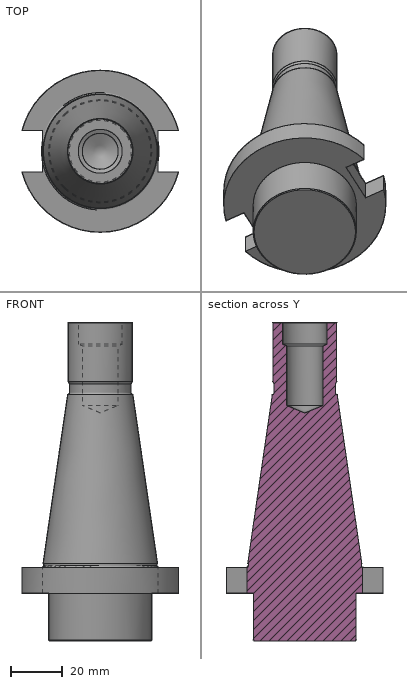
import cadquery as cq
import math

total_height = 123.4
flange_bottom = 18.5
flange_thickness = 10.0
flange_top = flange_bottom + flange_thickness
relief_height = 1.5
taper_bottom = flange_top + relief_height
taper_top = 95.5
shank_bottom = 100.6

pilot_diameter = 40.0
flange_diameter = 62.8
relief_diameter = 44.0
taper_large_diameter = 44.4
taper_ratio = 7 / 24
taper_small_diameter = taper_large_diameter - taper_ratio * (taper_top - taper_bottom)
neck_diameter = 24.0
shank_diameter = 24.9

pilot_chamfer = 0.4
relief_fillet = 0.7
neck_bottom_fillet = 0.7
neck_top_chamfer_height = 1.0

slot_width = 16.0
slot_floor_distance = 22.5

counterbore_diameter = 17.0
counterbore_depth = 8.4
bore_diameter = 14.0
bore_depth = 32.1
cone_angle = 135.0


def fillet_middle(wall_radius, floor_level, fillet_radius):
    """Midpoint of a concave fillet between a vertical wall and a flat floor."""
    inset = fillet_radius * (1 - math.sqrt(0.5))
    return (wall_radius + inset, floor_level + inset)


def make_body():
    """Revolve the outer outline: pilot, flange, taper, neck and shank."""
    pilot_radius = pilot_diameter / 2
    flange_radius = flange_diameter / 2
    relief_radius = relief_diameter / 2
    taper_large_radius = taper_large_diameter / 2
    taper_small_radius = taper_small_diameter / 2
    neck_radius = neck_diameter / 2
    shank_radius = shank_diameter / 2
    relief_arc_middle = fillet_middle(relief_radius, flange_top, relief_fillet)
    neck_arc_middle = fillet_middle(neck_radius, taper_top, neck_bottom_fillet)

    outline = (
        cq.Workplane("XZ")
        .lineTo(pilot_radius - pilot_chamfer, 0)
        .lineTo(pilot_radius, pilot_chamfer)
        .lineTo(pilot_radius, flange_bottom)
        .lineTo(flange_radius, flange_bottom)
        .lineTo(flange_radius, flange_top)
        .lineTo(relief_radius + relief_fillet, flange_top)
        .threePointArc(relief_arc_middle, (relief_radius, flange_top + relief_fillet))
        .lineTo(relief_radius, taper_bottom)
        .lineTo(taper_large_radius, taper_bottom)
        .lineTo(taper_small_radius, taper_top)
        .lineTo(neck_radius + neck_bottom_fillet, taper_top)
        .threePointArc(neck_arc_middle, (neck_radius, taper_top + neck_bottom_fillet))
        .lineTo(neck_radius, shank_bottom - neck_top_chamfer_height)
        .lineTo(shank_radius, shank_bottom)
        .lineTo(shank_radius, total_height)
        .lineTo(0, total_height)
        .close()
    )
    return outline.revolve(360, (0, 0, 0), (0, 1, 0))


def make_drive_slot(side):
    """Cutter for the drive slot on the +X (side=1) or -X (side=-1) side."""
    length = flange_diameter / 2
    return (
        cq.Workplane("XY", origin=(side * (slot_floor_distance + length / 2), 0, flange_bottom))
        .rect(length, slot_width)
        .extrude(flange_thickness)
    )


def make_bore():
    """Cutter for the counterbored blind hole with a conical step and drill tip."""
    bore_radius = bore_diameter / 2
    counterbore_radius = counterbore_diameter / 2
    counterbore_bottom = total_height - counterbore_depth
    bore_bottom = total_height - bore_depth
    cone_slope = 1 / math.tan(math.radians(cone_angle / 2))
    step_depth = (counterbore_radius - bore_radius) * cone_slope
    tip_depth = bore_radius * cone_slope
    return (
        cq.Workplane("XZ")
        .moveTo(0, total_height)
        .lineTo(counterbore_radius, total_height)
        .lineTo(counterbore_radius, counterbore_bottom)
        .lineTo(bore_radius, counterbore_bottom - step_depth)
        .lineTo(bore_radius, bore_bottom)
        .lineTo(0, bore_bottom - tip_depth)
        .close()
        .revolve(360, (0, 0, 0), (0, 1, 0))
    )


result = make_body().cut(make_bore())
for slot_side in (-1, 1):
    result = result.cut(make_drive_slot(slot_side))